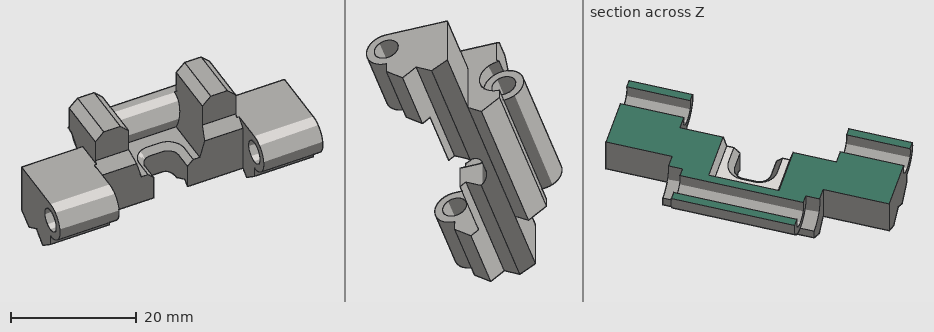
import cadquery as cq


hinge_radius = 3.35
bore_diameter = 4.0
barrel_length = 20.5
ear_axis_x = 15.45
ear_inner_y = 12.92
ear_outer_y = 23.5

body_half_width = 12.55
body_right_x = 11.45
block_left_x = 5.25

left_edge_z = -5.05
right_edge_z = -5.1
valley_z = -5.7
tooth_tip_z = -7.35
last_tip_z = -7.45
first_tip_x = 3.0
second_tip_x = 7.9
second_valley_x = 10.5
last_tip_x = 12.75

post_left_x = 0.45
post_right_x = 9.7
post_inner_y = 6.6
post_base_z = 3.75
post_top_z = 9.25
post_chamfer = 1.5

channel_floor_z = -1.15
channel_floor_half_width = 5.2
slot_left_x = 6.5
slot_half_width = 3.0
slot_corner_radius = 1.95
slot_chamfer = 1.05
rim_land = 4.7e-05

shoulder_x = post_right_x + post_base_z - hinge_radius
shoulder_z = post_base_z - (body_right_x - post_right_x)
third_tooth_slope = (last_tip_z - valley_z) / (last_tip_x - second_valley_x)
body_right_z = valley_z + third_tooth_slope * (body_right_x - second_valley_x)


def extrude_y(outline, start_y, end_y):
    """Extrude an XZ outline between two Y positions."""
    plane = cq.Workplane("XZ", origin=(0, end_y, 0))
    return plane.polyline(outline).close().extrude(end_y - start_y)


def cylinder_y(x, radius, start_y, end_y):
    """Cylinder along Y whose axis is at height zero."""
    return cq.Workplane("XZ", origin=(x, end_y, 0)).circle(radius).extrude(end_y - start_y)


def make_body():
    """Toothed bar with 45 degree slopes leading up to the post bases."""
    outline = [
        (0, left_edge_z),
        (first_tip_x, tooth_tip_z),
        (block_left_x, valley_z),
        (second_tip_x, tooth_tip_z),
        (second_valley_x, valley_z),
        (body_right_x, body_right_z),
        (body_right_x, shoulder_z),
        (post_right_x, post_base_z),
        (post_left_x, post_base_z),
        (0, post_base_z - post_left_x),
    ]
    return extrude_y(outline, -body_half_width, body_half_width)


def make_post():
    """Upright post with both long top edges chamfered."""
    length = post_right_x - post_left_x
    width = body_half_width - post_inner_y
    return (
        cq.Workplane("XY", origin=(post_left_x, post_inner_y, post_base_z))
        .box(length, width, post_top_z - post_base_z, centered=False)
        .edges("|X and >Z")
        .chamfer(post_chamfer)
    )


def make_end_block():
    """Toothed end block with a bored round ear, and a web joining it to the body."""
    ear_outline = [
        (block_left_x, valley_z),
        (second_tip_x, tooth_tip_z),
        (second_valley_x, valley_z),
        (last_tip_x, last_tip_z),
        (ear_axis_x, right_edge_z),
        (ear_axis_x, hinge_radius),
        (block_left_x, hinge_radius),
    ]
    web_outline = [
        (block_left_x, valley_z),
        (second_tip_x, tooth_tip_z),
        (second_valley_x, valley_z),
        (body_right_x, body_right_z),
        (body_right_x, shoulder_z),
        (shoulder_x, hinge_radius),
        (block_left_x, hinge_radius),
    ]
    block = extrude_y(ear_outline, ear_inner_y, ear_outer_y)
    block = block.union(cylinder_y(ear_axis_x, hinge_radius, ear_inner_y, ear_outer_y))
    block = block.cut(cylinder_y(ear_axis_x, bore_diameter / 2, ear_inner_y, ear_outer_y))
    return block.union(extrude_y(web_outline, body_half_width, ear_inner_y))


def make_channel():
    """Cutter along X with a flat floor and flared side walls."""
    return (
        cq.Workplane("YZ")
        .polyline([
            (-channel_floor_half_width, channel_floor_z),
            (channel_floor_half_width, channel_floor_z),
            (post_inner_y, post_base_z),
            (-post_inner_y, post_base_z),
        ])
        .close()
        .extrude(body_right_x)
    )


def make_slot():
    """Open-ended slot cutter widening at 45 degrees towards the channel floor."""
    length = 2 * (body_right_x - slot_left_x)
    slot = (
        cq.Workplane("XY", origin=(slot_left_x + length / 2, 0, last_tip_z))
        .rect(length, 2 * slot_half_width)
        .extrude(channel_floor_z - last_tip_z)
        .edges("|Z")
        .fillet(slot_corner_radius)
    )
    rim = (
        cq.Workplane("XY", origin=(slot_left_x + length / 2, 0, channel_floor_z))
        .rect(length + 2 * slot_chamfer, 2 * (slot_half_width + slot_chamfer))
        .extrude(-slot_chamfer)
        .edges("|Z")
        .fillet(slot_corner_radius + slot_chamfer)
        .faces("<Z")
        .chamfer(slot_chamfer - rim_land)
    )
    return slot.union(rim)


body = make_body().cut(make_channel()).cut(make_slot())
body = body.cut(cylinder_y(0, hinge_radius, -body_half_width, body_half_width))

barrel = cylinder_y(0, hinge_radius, -barrel_length / 2, barrel_length / 2)
barrel = barrel.cut(cylinder_y(0, bore_diameter / 2, -barrel_length / 2, barrel_length / 2))

result = body.union(barrel)
for side_part in (make_post(), make_end_block()):
    result = result.union(side_part).union(side_part.mirror("XZ"))